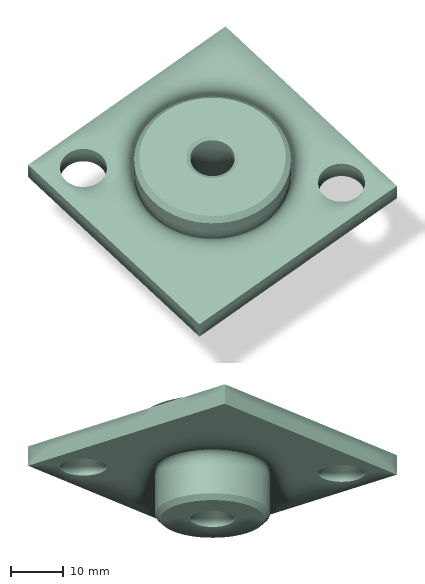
import cadquery as cq

plate_side = 50.0
plate_thickness = 4.0
mount_hole_diameter = 9.0
mount_hole_offset = 17.5

flange_diameter = 30.0
flange_height = 6.0
sleeve_diameter = 22.0
sleeve_projection = 10.0
edge_chamfer = 1.0
bore_diameter = 8.5
bore_chamfer_width = 0.75
bore_chamfer_angle = 30.0


def make_plate():
    """Square plate with a bushing seat and two diagonal mounting holes."""
    mount_hole_points = [
        (mount_hole_offset, mount_hole_offset),
        (-mount_hole_offset, -mount_hole_offset),
    ]
    plate = cq.Workplane("XY").rect(plate_side, plate_side).extrude(plate_thickness)
    seat = cq.Workplane("XY").circle(sleeve_diameter / 2).extrude(plate_thickness)
    mount_holes = (
        cq.Workplane("XY")
        .pushPoints(mount_hole_points)
        .circle(mount_hole_diameter / 2)
        .extrude(plate_thickness)
    )
    return plate.cut(seat).cut(mount_holes)


def make_bushing():
    """Flanged bushing with chamfered ends and a countersunk through bore."""
    sleeve_length = sleeve_projection + plate_thickness
    sleeve = (
        cq.Workplane("XY", origin=(0, 0, -sleeve_projection))
        .circle(sleeve_diameter / 2)
        .extrude(sleeve_length)
        .faces("<Z").edges().chamfer(edge_chamfer)
    )
    flange = (
        cq.Workplane("XY", origin=(0, 0, plate_thickness))
        .circle(flange_diameter / 2)
        .extrude(flange_height)
        .faces(">Z").edges().chamfer(edge_chamfer)
    )
    bore_mouth_diameter = bore_diameter + 2 * bore_chamfer_width
    countersink_angle = 180 - 2 * bore_chamfer_angle
    return (
        sleeve.union(flange)
        .faces(">Z").workplane()
        .cskHole(bore_diameter, bore_mouth_diameter, countersink_angle)
    )


plate = make_plate()
bushing = make_bushing()

result = cq.Compound.makeCompound([plate.val(), bushing.val()])